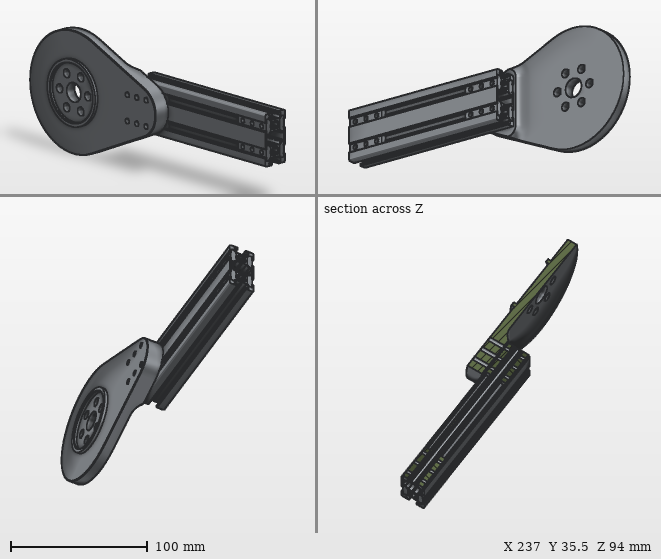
import cadquery as cq
import math


head_radius = 47.0
tail_radius = 20.0
tail_x = 67.0
plate_thickness = 8.0
pad_height = 5.0
pad_face_y = plate_thickness + pad_height
edge_chamfer = 0.5

pad_edge_x = 50.0
pad_corner_z = 18.9
pad_corner_radius = 7.3
flare_radius = 11.0
flare_width = math.sqrt(2 * flare_radius * pad_height - pad_height**2)

ring_diameter = 51.0
ring_height = 2.5
recess_diameter = 45.0
recess_depth = ring_height
recess_chamfer = 0.5
bore_diameter = 14.8
hub_hole_diameter = 6.6
hub_hole_circle = 30.0
hub_hole_count = 6

screw_pitch = 10.0
screws_per_strip = 3
screw_clearance_diameter = 4.0
screw_thread_diameter = 3.5

cell_size = 20.0
half_cell = cell_size / 2
cell_offsets = (-half_cell, half_cell)
profile_length = 138.0
profile_start_x = tail_x - screw_pitch * screws_per_strip / 2
profile_centre_y = pad_face_y + half_cell
profile_corner_radius = 1.5

slot_opening = 6.2
slot_mouth_chamfer = 0.6
slot_lip = 1.5
slot_depth = 5.5
slot_half_width = 5.9
slot_floor_half_width = 3.9
slot_shoulder_depth = slot_depth - (slot_half_width - slot_floor_half_width)
notch_half_width = 0.8
notch_depth = 0.7

core_half = half_cell - slot_depth
core_hole_half = 2.9
core_hole_chamfer = 0.7
core_ridge_half_width = 1.2
core_ridge_height = 0.35

cavity_wall = 1.5
cavity_half_height = 2.8

strip_length = screw_pitch * screws_per_strip
strip_recess = 1.0


def plate_outline():
    """Two arcs joined by their outer tangent lines, in the XZ plane."""
    tangent_cos = (head_radius - tail_radius) / tail_x
    tangent_sin = math.sqrt(1 - tangent_cos**2)
    head_x = head_radius * tangent_cos
    head_z = head_radius * tangent_sin
    tail_end_x = tail_x + tail_radius * tangent_cos
    tail_z = tail_radius * tangent_sin
    return (
        cq.Workplane("XZ")
        .moveTo(head_x, head_z)
        .threePointArc((-head_radius, 0), (head_x, -head_z))
        .lineTo(tail_end_x, -tail_z)
        .threePointArc((tail_x + tail_radius, 0), (tail_end_x, tail_z))
        .close()
    )


def flare_section(start_x, end_x, base_y):
    """Pad section from its concave flared edge at start_x (top edge) to end_x."""
    toe_x = start_x - flare_width
    mid_angle = math.asin(flare_width / flare_radius) / 2
    mid_x = toe_x + flare_radius * math.sin(mid_angle)
    mid_y = plate_thickness + flare_radius * (1 - math.cos(mid_angle))
    return (
        cq.Workplane("XY")
        .moveTo(toe_x, base_y)
        .lineTo(toe_x, plate_thickness)
        .threePointArc((mid_x, mid_y), (start_x, pad_face_y))
        .lineTo(end_x, pad_face_y)
        .lineTo(end_x, base_y)
        .close()
    )


def make_raised_pad():
    """Pad with a straight flared edge between two flared round corners, trimmed to the outline."""
    base_y = plate_thickness / 2
    corner_x = pad_edge_x + pad_corner_radius
    pad = (
        flare_section(pad_edge_x, tail_x + tail_radius, base_y)
        .extrude(pad_corner_z, both=True)
    )
    corner = flare_section(pad_edge_x, corner_x, base_y).revolve(360, (corner_x, 0), (corner_x, 1))
    for side in (-1, 1):
        pad = pad.union(corner.translate((0, 0, side * pad_corner_z)))
    tail_block = (
        cq.Workplane("XY")
        .box(head_radius, pad_face_y - base_y, 2 * head_radius, centered=(False, False, True))
        .translate((corner_x, base_y, 0))
    )
    return pad.union(tail_block).intersect(plate_outline().extrude(-pad_face_y))


def screw_points(first_x):
    """Screw positions of one row along X."""
    return [(first_x + index * screw_pitch, 0) for index in range(screws_per_strip)]


def make_plate():
    plate = plate_outline().extrude(-plate_thickness).faces("<Y").edges().chamfer(edge_chamfer)
    plate = plate.union(make_raised_pad())
    plate = plate.union(cq.Workplane("XZ").circle(ring_diameter / 2).extrude(ring_height))

    recess = (
        cq.Workplane("XZ", origin=(0, recess_depth - ring_height, 0))
        .circle(recess_diameter / 2)
        .extrude(recess_depth)
    )
    rim = (
        cq.Workplane("XZ", origin=(0, -ring_height, 0))
        .circle(recess_diameter / 2 + recess_chamfer)
        .extrude(-recess_chamfer, taper=45)
    )
    plate = plate.cut(recess).cut(rim)

    bore = cq.Workplane("XZ").circle(bore_diameter / 2).extrude(-pad_face_y)
    hub_holes = (
        cq.Workplane("XZ")
        .polarArray(hub_hole_circle / 2, 0, 360, hub_hole_count)
        .circle(hub_hole_diameter / 2)
        .extrude(-pad_face_y)
    )
    plate = plate.cut(bore).cut(hub_holes)

    for row_z in cell_offsets:
        screw_holes = (
            cq.Workplane("XZ", origin=(0, 0, row_z))
            .pushPoints(screw_points(tail_x - screw_pitch))
            .circle(screw_clearance_diameter / 2)
            .extrude(-pad_face_y)
        )
        plate = plate.cut(screw_holes)
    return plate


def mirrored_outline(half_outline):
    """Join a half outline of (across, along) points to its mirror image on the other side."""
    mirror_image = [(-across, along) for across, along in reversed(half_outline) if across > 0]
    return half_outline + mirror_image


def slot_section():
    """T-slot cut into the +Z side of a cell that is centred on the origin of the YZ plane."""
    half_mouth = slot_opening / 2
    return mirrored_outline([
        (half_mouth + slot_mouth_chamfer, half_cell),
        (half_mouth, half_cell - slot_mouth_chamfer),
        (half_mouth, half_cell - slot_lip),
        (slot_half_width, half_cell - slot_lip),
        (slot_half_width, half_cell - slot_shoulder_depth),
        (slot_floor_half_width, core_half),
        (notch_half_width, core_half),
        (0, core_half - notch_depth),
    ])


def strip_section():
    """Nut strip that fills the slot below its mouth, without the floor notch."""
    half_mouth = slot_opening / 2
    return mirrored_outline([
        (half_mouth, half_cell - strip_recess),
        (half_mouth, half_cell - slot_lip),
        (slot_half_width, half_cell - slot_lip),
        (slot_half_width, half_cell - slot_shoulder_depth),
        (slot_floor_half_width, core_half),
    ])


def core_hole_section():
    """Square hole with cut corners and a low ridge in the middle of each side."""
    ridge_top = core_hole_half - core_ridge_height
    ridge_foot = core_ridge_half_width + core_ridge_height
    corner = core_hole_half - core_hole_chamfer
    side = [
        (-corner, core_hole_half),
        (-ridge_foot, core_hole_half),
        (-core_ridge_half_width, ridge_top),
        (core_ridge_half_width, ridge_top),
        (ridge_foot, core_hole_half),
        (corner, core_hole_half),
    ]
    points = []
    for _ in range(4):
        points += side
        side = [(z, -y) for y, z in side]
    return points


def cavity_section():
    """Hollow between the two cells, with the slot floor notch at top and bottom."""
    cell_gap = half_cell - core_half
    wall_y = half_cell - cavity_wall
    knee_y = slot_floor_half_width + cell_gap - cavity_half_height
    upper = [
        (-wall_y, cavity_half_height),
        (-knee_y, cavity_half_height),
        (-slot_floor_half_width, cell_gap),
        (-notch_half_width, cell_gap),
        (0, cell_gap + notch_depth),
        (notch_half_width, cell_gap),
        (slot_floor_half_width, cell_gap),
        (knee_y, cavity_half_height),
        (wall_y, cavity_half_height),
    ]
    return upper + [(y, -z) for y, z in reversed(upper)]


def profile_prism(section, length):
    """Extrude a YZ section along X from the start of the extrusion, about the extrusion axis."""
    plane = cq.Workplane("YZ", origin=(profile_start_x, 0, 0))
    return plane.polyline(section).close().extrude(length)


def place_in_slot(body, side_angle, cell_z):
    """Turn a body from the +Z side of a cell to another side, then move it to its cell."""
    turned = body.rotate((0, 0, 0), (1, 0, 0), side_angle)
    return turned.translate((0, profile_centre_y, cell_z))


face_angles = (90, -90)


def make_profile():
    profile = (
        cq.Workplane("YZ", origin=(profile_start_x, profile_centre_y, 0))
        .rect(cell_size, 2 * cell_size)
        .extrude(profile_length)
        .edges("|X")
        .fillet(profile_corner_radius)
    )
    slot = profile_prism(slot_section(), profile_length)
    core_hole = profile_prism(core_hole_section(), profile_length)
    for cell_z in cell_offsets:
        outer_angle = 0 if cell_z > 0 else 180
        for side_angle in (*face_angles, outer_angle):
            profile = profile.cut(place_in_slot(slot, side_angle, cell_z))
        profile = profile.cut(place_in_slot(core_hole, 0, cell_z))
    cavity = profile_prism(cavity_section(), profile_length)
    return profile.cut(cavity.translate((0, profile_centre_y, 0)))


def make_nut_strip():
    """Nut strip on the +Z side of a cell, at the start of the extrusion."""
    strip = profile_prism(strip_section(), strip_length)
    threads = (
        cq.Workplane("XY")
        .pushPoints(screw_points(profile_start_x + screw_pitch / 2))
        .circle(screw_thread_diameter / 2)
        .extrude(half_cell)
    )
    return strip.cut(threads)


plate = make_plate()
profile = make_profile()

nut_strips = []
for end_shift in (0, profile_length - strip_length):
    for cell_z in cell_offsets:
        for side_angle in face_angles:
            strip = place_in_slot(make_nut_strip(), side_angle, cell_z)
            nut_strips.append(strip.translate((end_shift, 0, 0)).val())

result = cq.Compound.makeCompound([plate.val(), profile.val(), *nut_strips])